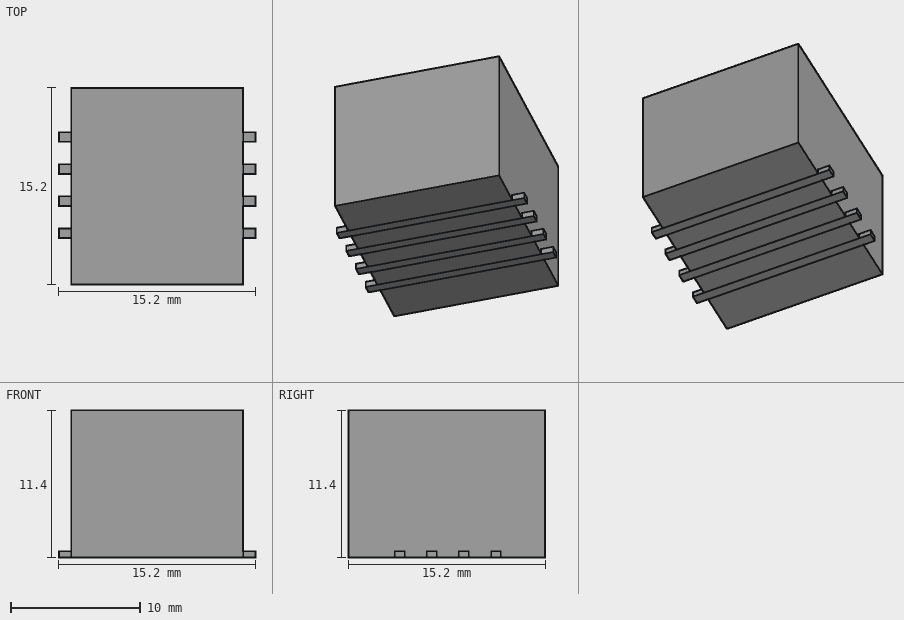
import cadquery as cq

overall_length_x = 15.24
housing_length_x = 13.34
housing_width_y = 15.24
housing_height = 11.43

lead_count = 4
lead_pitch = 2.48
lead_width = 0.76
lead_height = 0.5
lead_row_offset_y = 0.09


def block(length, width, height):
    """Box centred in X and Y, standing on Z = 0."""
    return cq.Workplane("XY").box(length, width, height, centered=(True, True, False))


def make_lead(y):
    """One straight bar whose ends stick out on both sides of the housing."""
    return block(overall_length_x, lead_width, lead_height).translate((0, y, 0))


def make_housing(lead_bars):
    """Plain block with a matching groove in its underside for each lead bar."""
    housing_block = block(housing_length_x, housing_width_y, housing_height)
    for lead in lead_bars:
        housing_block = housing_block.cut(lead)
    return housing_block


first_lead_y = lead_row_offset_y - lead_pitch * (lead_count - 1) / 2
leads = [make_lead(first_lead_y + i * lead_pitch) for i in range(lead_count)]
housing = make_housing(leads)

result = cq.Compound.makeCompound([housing.val(), *[lead.val() for lead in leads]])